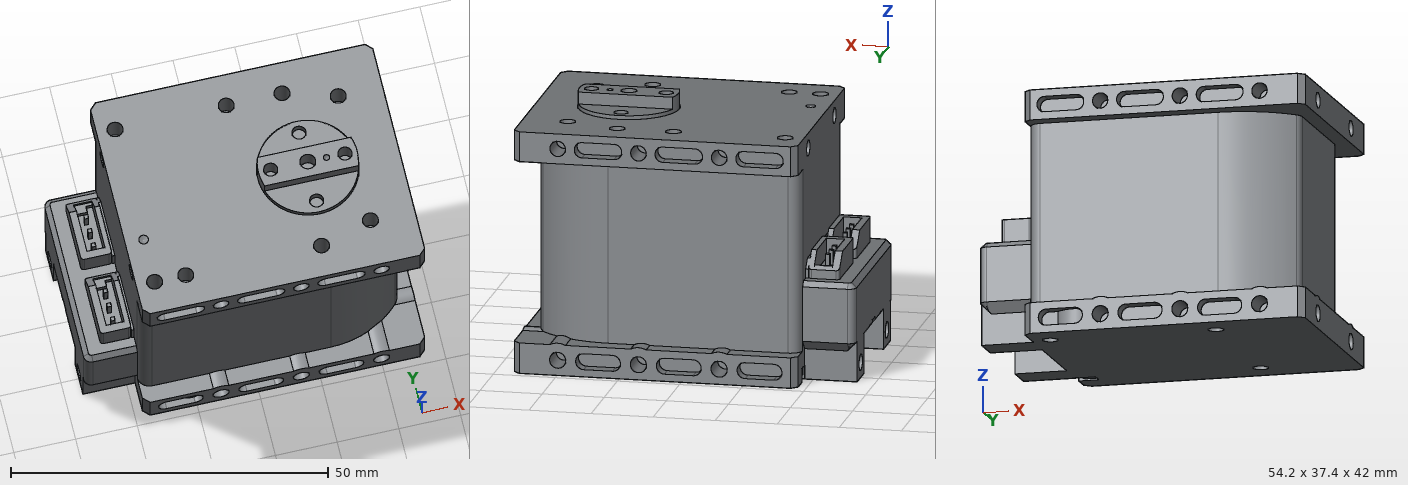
import cadquery as cq


plate_x_min = -31.0
plate_x_max = 14.75
plate_width = 37.4
lower_plate_thickness = 5.0
upper_plate_thickness = 4.9
plate_corner_chamfer = 1.05
housing_height = 39.45

body_width = 32.0
body_x_max = 12.1
body_corner_radius = 2.0

half_plate_width = plate_width / 2
top_plate_z = housing_height - upper_plate_thickness
lower_row_z = lower_plate_thickness / 2
upper_row_z = top_plate_z + upper_plate_thickness / 2

side_hole_x = [-18.5, -5.5, 7.55]
hole_to_slot = 6.5
side_slot_x = [x - hole_to_slot for x in side_hole_x]
end_hole_y = 9.95
rim_hole_depth = 5.0
upper_hole_diameter = 2.5
lower_hole_diameter = 2.6
slot_depth = 2.15
upper_slot_length = 7.65
lower_slot_length = 7.2
ridge_diameter = 5.6

mount_hole_diameter = 2.5
mount_y = 13.5
mount_corner_x = -28.0
mount_right_x = -1.0
blind_pair_x = 7.55
blind_pair_y = 11.0
post_hole_x = -23.0
rear_blind_x = -10.0
blind_hole_depth = upper_plate_thickness
through_points = [(mount_corner_x, -mount_y), (mount_right_x, -mount_y), (mount_right_x, mount_y)]
blind_points = [
    (mount_corner_x, mount_y),
    (rear_blind_x, mount_y),
    (post_hole_x, -mount_y),
    (blind_pair_x, blind_pair_y),
    (blind_pair_x, -blind_pair_y),
]
index_mark_y = -6.0
index_mark_diameter = 1.5
index_mark_depth = 0.55

slot_post_diameter = 8.5
corner_post_diameter = 5.6
corner_post_chamfer = 0.6
corner_post_base = 0.25
corner_pocket_height = 2.2
corner_pocket_y_max = 14.65
corner_pocket_length = 3.25

block_x_min = -39.45
block_width = 28.7
block_shoulder_z = 6.6
block_top = 16.3
block_top_chamfer = 0.8
block_corner_radius = 1.25
block_bottom_bevel = 2.35
block_bevel_angle = 45
block_root_length = 0.55
leg_inner_y = 7.35
leg_outer_y = 12.75
notch_width = 1.8
notch_depth = 3.25
notch_top = 7.05

block_length = plate_x_min - block_x_min

socket_x_min = -36.4
socket_x_max = -31.45
socket_length = 10.95
socket_center_y = 6.55
socket_top = 20.3
socket_bevel = 2.55
socket_corner_radius = 0.5
rib_height = 2.9
cavity_x_min = -35.25
cavity_x_max = -32.3
cavity_length = 9.1
cavity_end_wall = 0.6
cavity_floor = 17.1
key_length = 1.5
key_width = 1.9
key_lip_length = 0.5
key_top = 17.9
pin_x = -33.9
pin_pitch = 2.5
pin_size = 0.65
pin_top = 19.5
pin_center_offset = -0.55

rotor_diameter = 16.0
recess_diameter = 16.2
recess_depth = 4.0
rotor_disc_top = 40.05
rotor_top = 42.0
rotor_bar_width = 5.05
rotor_hole_radius = 6.0
rotor_hole_diameter = 2.2
rotor_center_hole_diameter = 2.5
rotor_hole_depth = 3.25
rotor_mark_x = 3.05
rotor_mark_diameter = 1.0
rotor_mark_depth = 0.5

recess_floor = housing_height - recess_depth


def box(x_min, x_max, y_min, y_max, z_min, z_max):
    size = (x_max - x_min, y_max - y_min, z_max - z_min)
    return cq.Workplane("XY").box(*size, centered=False).translate((x_min, y_min, z_min))


def vertical_cylinder(x, y, diameter, z_min, z_max):
    return cq.Workplane("XY", origin=(x, y, z_min)).circle(diameter / 2).extrude(z_max - z_min)


def conical_mark(x, y, z, diameter, depth):
    """Conical dimple opening upward at height z."""
    cone = cq.Solid.makeCone(0, diameter / 2, depth, cq.Vector(x, y, z - depth))
    return cq.Workplane(cone)


def plate(z_min, z_max):
    slab = box(plate_x_min, plate_x_max, -half_plate_width, half_plate_width, z_min, z_max)
    return slab.edges("|Z").chamfer(plate_corner_chamfer)


def main_body():
    """Block between the plates whose +X end follows a cylinder round the output axis."""
    half_width = body_width / 2
    barrel = vertical_cylinder(0, 0, body_width, 0, housing_height)
    straight = box(plate_x_min, 0, -half_width, half_width, 0, housing_height)
    envelope = box(plate_x_min, body_x_max, -half_width, half_width, 0, housing_height)
    body = straight.union(barrel).intersect(envelope)
    body = body.edges("|Z and (<X or >X)").fillet(body_corner_radius)
    between_plates = box(plate_x_min, body_x_max, -half_width, half_width, lower_plate_thickness, top_plate_z)
    return body.intersect(between_plates)


def ridges():
    """Round ridges that thicken the lower plate over its rim holes."""
    radius = ridge_diameter / 2
    bars = cq.Workplane("XY")
    for x in side_hole_x:
        bar = cq.Workplane("XZ", origin=(x, 0, lower_row_z)).circle(radius)
        bars = bars.union(bar.extrude(half_plate_width, both=True))
    for y in (-end_hole_y, end_hole_y):
        bar = cq.Workplane("YZ", origin=(0, y, lower_row_z)).circle(radius)
        bars = bars.union(bar.extrude(plate_x_max))
    return bars.intersect(
        box(plate_x_min, plate_x_max, -half_plate_width, half_plate_width, lower_row_z, top_plate_z)
    )


def rim_side(side, z):
    """Sketch plane at height z on the +Y (side = 1) or -Y (side = -1) rim."""
    return cq.Workplane("XZ", origin=(0, side * half_plate_width, z))


def side_holes(side):
    points = [(x, 0) for x in side_hole_x]
    upper = rim_side(side, upper_row_z).pushPoints(points).circle(upper_hole_diameter / 2)
    lower = rim_side(side, lower_row_z).pushPoints(points).circle(lower_hole_diameter / 2)
    return upper.extrude(side * rim_hole_depth).union(lower.extrude(side * rim_hole_depth))


def side_slots(side):
    points = [(x, 0) for x in side_slot_x]
    upper = rim_side(side, upper_row_z).pushPoints(points).slot2D(upper_slot_length, upper_hole_diameter)
    lower = rim_side(side, lower_row_z).pushPoints(points).slot2D(lower_slot_length, lower_hole_diameter)
    return upper.extrude(side * slot_depth).union(lower.extrude(side * slot_depth))


def end_cutters():
    """Holes in the rims at both X ends; the lower ones on the -X end run through the legs."""
    upper_radius = upper_hole_diameter / 2
    lower_radius = lower_hole_diameter / 2
    points = [(-end_hole_y, 0), (end_hole_y, 0)]
    upper = cq.Workplane("YZ", origin=(0, 0, upper_row_z)).pushPoints(points)
    lower = cq.Workplane("YZ", origin=(0, 0, lower_row_z)).pushPoints(points)
    hole_end_x = plate_x_min + rim_hole_depth
    start_x = plate_x_max - rim_hole_depth
    cutters = upper.circle(upper_radius).extrude(rim_hole_depth).translate((plate_x_min, 0, 0))
    leg_holes = lower.circle(lower_radius).extrude(hole_end_x - block_x_min)
    cutters = cutters.union(leg_holes.translate((block_x_min, 0, 0)))
    for row, radius in ((upper, upper_radius), (lower, lower_radius)):
        cutters = cutters.union(row.circle(radius).extrude(rim_hole_depth).translate((start_x, 0, 0)))
    return cutters


def mount_cutters():
    radius = mount_hole_diameter / 2
    through = cq.Workplane("XY").pushPoints(through_points).circle(radius).extrude(housing_height)
    blind = cq.Workplane("XY", origin=(0, 0, housing_height)).pushPoints(blind_points)
    blind = blind.circle(radius).extrude(-blind_hole_depth)
    mark = conical_mark(mount_corner_x, index_mark_y, housing_height, index_mark_diameter, index_mark_depth)
    return through.union(blind).union(mark)


def corner_pocket():
    """Pocket under the lower plate, open to -X, leaving the end of a screw post standing in it."""
    pocket = box(
        plate_x_min, plate_x_min + corner_pocket_length, end_hole_y + lower_hole_diameter,
        corner_pocket_y_max, 0, corner_pocket_height,
    )
    post = vertical_cylinder(
        mount_corner_x, mount_y, corner_post_diameter, corner_post_base, lower_plate_thickness
    ).faces("<Z").chamfer(corner_post_chamfer)
    return pocket.cut(post)


def connector_block():
    """Bevelled block carrying the sockets, standing on two legs."""
    half_width = block_width / 2
    base_z = block_shoulder_z - block_bottom_bevel
    core = box(
        block_x_min, block_x_min + 2 * block_length, -half_width, half_width, block_shoulder_z, block_top
    ).edges("|Z").fillet(block_corner_radius).faces(">Z").chamfer(block_top_chamfer)
    bevel = core.faces("<Z").wires().toPending().workplane().extrude(
        block_bottom_bevel, combine=False, taper=block_bevel_angle
    )
    core = core.union(bevel)
    core = core.intersect(box(block_x_min, plate_x_min, -half_width, half_width, base_z, block_top))
    notch_x_max = block_x_min + notch_depth
    core = core.cut(box(block_x_min, notch_x_max, -notch_width / 2, notch_width / 2, base_z, notch_top))
    for y_min in (leg_inner_y, -leg_outer_y):
        y_max = y_min + leg_outer_y - leg_inner_y
        core = core.union(box(block_x_min, plate_x_min, y_min, y_max, 0, block_shoulder_z))
    root = box(
        plate_x_min, plate_x_min + block_root_length, -half_width, half_width,
        lower_plate_thickness, block_top - block_top_chamfer,
    )
    return core.union(root)


def socket_profile(x_min, x_max):
    """Prism along X: a rectangle with its upper +Y corner cut at 45 degrees."""
    half = socket_length / 2
    base_z = block_top - block_top_chamfer
    outline = cq.Workplane("YZ", origin=(x_min, 0, 0)).polyline([
        (-half, base_z),
        (half, base_z),
        (half, socket_top - socket_bevel),
        (half - socket_bevel, socket_top),
        (-half, socket_top),
    ]).close()
    return outline.extrude(x_max - x_min)


def socket():
    """One socket centred on Y = 0, with a keyed cavity and three pins."""
    half = socket_length / 2
    shell = socket_profile(socket_x_min, socket_x_max).edges("|Z").fillet(socket_corner_radius)
    rib_top = block_top + rib_height
    rib = socket_profile(socket_x_max, plate_x_min)
    rib = rib.intersect(box(socket_x_max, plate_x_min, -half, half, 0, rib_top))
    cavity_y_max = half - cavity_end_wall
    cavity = box(
        cavity_x_min, cavity_x_max, cavity_y_max - cavity_length, cavity_y_max, cavity_floor, socket_top
    )
    key = box(
        cavity_x_min, cavity_x_min + key_width, cavity_y_max - key_length, cavity_y_max, cavity_floor, key_top
    )
    key_lip = box(
        cavity_x_min, cavity_x_max, cavity_y_max - key_lip_length, cavity_y_max, cavity_floor, key_top
    )
    part = shell.cut(cavity.cut(key).cut(key_lip)).union(rib)
    for index in (-1, 0, 1):
        y = pin_center_offset + index * pin_pitch
        pin = box(
            pin_x - pin_size / 2, pin_x + pin_size / 2, y - pin_size / 2, y + pin_size / 2, block_top, pin_top
        )
        part = part.union(pin)
    return part


def make_housing():
    housing = plate(0, lower_plate_thickness).union(ridges())
    housing = housing.union(plate(top_plate_z, housing_height)).union(main_body())
    housing = housing.cut(side_holes(1)).cut(side_holes(-1))
    slot_post = vertical_cylinder(post_hole_x, -mount_y, slot_post_diameter, 0, lower_plate_thickness)
    housing = housing.cut(side_slots(-1).cut(slot_post)).cut(side_slots(1))
    housing = housing.cut(corner_pocket())
    housing = housing.union(connector_block())
    for y in (-socket_center_y, socket_center_y):
        housing = housing.union(socket().translate((0, y, 0)))
    housing = housing.cut(end_cutters()).cut(mount_cutters())
    return housing.cut(vertical_cylinder(0, 0, recess_diameter, recess_floor, housing_height))


def make_rotor():
    """Output disc seated in the housing recess, with a raised bar across it."""
    radius = rotor_diameter / 2
    half_bar = rotor_bar_width / 2
    rotor = vertical_cylinder(0, 0, rotor_diameter, recess_floor, rotor_disc_top)
    bar = vertical_cylinder(0, 0, rotor_diameter, recess_floor, rotor_top)
    bar = bar.intersect(box(-radius, radius, -half_bar, half_bar, recess_floor, rotor_top))
    rotor = rotor.union(bar)
    hole_floor = rotor_top - rotor_hole_depth
    ring = [(rotor_hole_radius, 0), (0, rotor_hole_radius), (-rotor_hole_radius, 0), (0, -rotor_hole_radius)]
    for x, y in ring:
        rotor = rotor.cut(vertical_cylinder(x, y, rotor_hole_diameter, hole_floor, rotor_top))
    rotor = rotor.cut(vertical_cylinder(0, 0, rotor_center_hole_diameter, hole_floor, rotor_top))
    return rotor.cut(conical_mark(rotor_mark_x, 0, rotor_top, rotor_mark_diameter, rotor_mark_depth))


housing = make_housing()
rotor = make_rotor()

result = cq.Compound.makeCompound([housing.val(), rotor.val()])